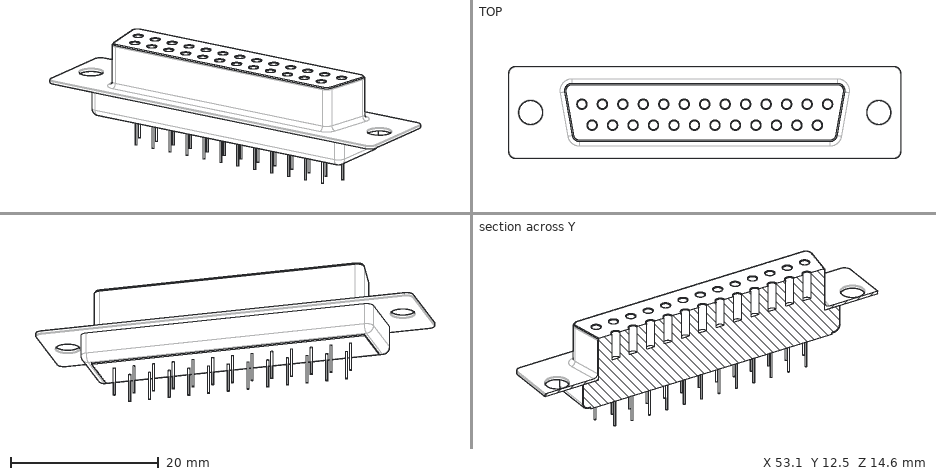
import cadquery as cq
import math

flange_length = 53.1
flange_width = 12.5
flange_thickness = 0.5
flange_corner_radius = 1.0
flange_edge_radius = 0.1
screw_hole_diameter = 3.2
screw_hole_spacing = 47.1

sheet_thickness = 0.2

shroud_length = 38.32
shroud_width = 7.9
shroud_slant = math.radians(10)
shroud_corner_radius = 1.0
shroud_top = 6.38
rim_edge_radius = 0.1
flare_radius = 0.6

cup_length = 41.1
cup_width = 9.88
cup_height = 3.92
cup_corner_radius = 1.0
cup_edge_radius = 1.0
cup_opening_inset = 1.35

core_rise = 0.2
pad_rise = 0.18
core_top = shroud_top + core_rise
pad_bottom = -cup_height - pad_rise

contact_pitch = 2.77
row_spacing = 2.84
upper_row_count = 13
lower_row_count = 12
socket_row_shift = -0.3
socket_diameter = 1.2
socket_depth = 4.0
socket_rim_chamfer = 0.1
pin_diameter = 0.3
pin_length = 3.89


def contact_points(row_shift):
    """Both rows of contacts centred on X = 0, moved along Y by the given shift."""
    points = []
    for count, row_y in [(upper_row_count, row_spacing / 2), (lower_row_count, -row_spacing / 2)]:
        first_x = -contact_pitch * (count - 1) / 2
        points += [(first_x + contact_pitch * i, row_y + row_shift) for i in range(count)]
    return points


def d_prism(inset, top):
    """D-shaped prism from Z = 0, lying the given inset inside the shroud's outer wall."""
    half_width = shroud_width / 2 - inset
    middle = (shroud_length - shroud_width * math.tan(shroud_slant)) / 2 - inset / math.cos(shroud_slant)
    lean = half_width * math.tan(shroud_slant)
    corners = [
        (-middle - lean, half_width),
        (middle + lean, half_width),
        (middle - lean, -half_width),
        (-middle + lean, -half_width),
    ]
    prism = cq.Workplane("XY").polyline(corners).close().extrude(top)
    return prism.edges("|Z").fillet(shroud_corner_radius - inset)


def cup_block(inset):
    """Round-bottomed block below Z = 0, lying the given inset inside the cup's outer walls."""
    return (
        cq.Workplane("XY")
        .rect(cup_length - 2 * inset, cup_width - 2 * inset)
        .extrude(-(cup_height - inset))
        .edges("|Z")
        .fillet(cup_corner_radius - inset)
        .faces("<Z")
        .edges()
        .fillet(cup_edge_radius - inset)
    )


def pad_block():
    """Rectangular block that fills the opening in the cup's floor and stands out below it."""
    return (
        cq.Workplane("XY")
        .workplane(offset=pad_bottom)
        .rect(cup_length - 2 * cup_opening_inset, cup_width - 2 * cup_opening_inset)
        .extrude(pad_rise + sheet_thickness)
    )


def make_flange():
    """Plate with two screw holes and all its upper and lower edges rounded."""
    return (
        cq.Workplane("XY")
        .rect(flange_length, flange_width)
        .extrude(flange_thickness)
        .edges("|Z")
        .fillet(flange_corner_radius)
        .faces(">Z")
        .workplane(origin=(0, 0, flange_thickness))
        .pushPoints([(-screw_hole_spacing / 2, 0), (screw_hole_spacing / 2, 0)])
        .hole(screw_hole_diameter)
        .faces("<Z or >Z")
        .edges()
        .fillet(flange_edge_radius)
    )


def make_filling():
    """Solid shape of the insulator before its sockets and pins are added."""
    return cup_block(sheet_thickness).union(d_prism(sheet_thickness, core_top)).union(pad_block())


def make_shell():
    """Flange, shroud and cup in one piece, hollowed to take the insulator."""
    shroud = d_prism(0, shroud_top).faces(">Z").edges().fillet(rim_edge_radius)
    shroud_foot = cq.selectors.BoxSelector(
        (-cup_length / 2, -cup_width / 2, flange_thickness / 2),
        (cup_length / 2, cup_width / 2, flange_thickness * 1.5),
    )
    body = make_flange().union(shroud).edges(shroud_foot).fillet(flare_radius)
    return body.union(cup_block(0)).cut(make_filling())


def make_insulator():
    """Plastic core with chamfered sockets on top and contact pins below, as one solid."""
    socket_points = contact_points(socket_row_shift)
    sockets = (
        cq.Workplane("XY")
        .workplane(offset=core_top)
        .pushPoints(socket_points)
        .circle(socket_diameter / 2)
        .extrude(-socket_depth)
    )
    rim = cq.Solid.makeCone(
        socket_diameter / 2,
        socket_diameter / 2 + socket_rim_chamfer,
        socket_rim_chamfer,
        pnt=cq.Vector(0, 0, core_top - socket_rim_chamfer),
    )
    rims = cq.Workplane("XY").pushPoints(socket_points).eachpoint(lambda place: rim.moved(place))
    pins = (
        cq.Workplane("XY")
        .workplane(offset=pad_bottom)
        .pushPoints(contact_points(0))
        .circle(pin_diameter / 2)
        .extrude(-pin_length)
    )
    return make_filling().cut(sockets).cut(rims).union(pins)


shell = make_shell()
insulator = make_insulator()

result = cq.Compound.makeCompound([shell.val(), insulator.val()])